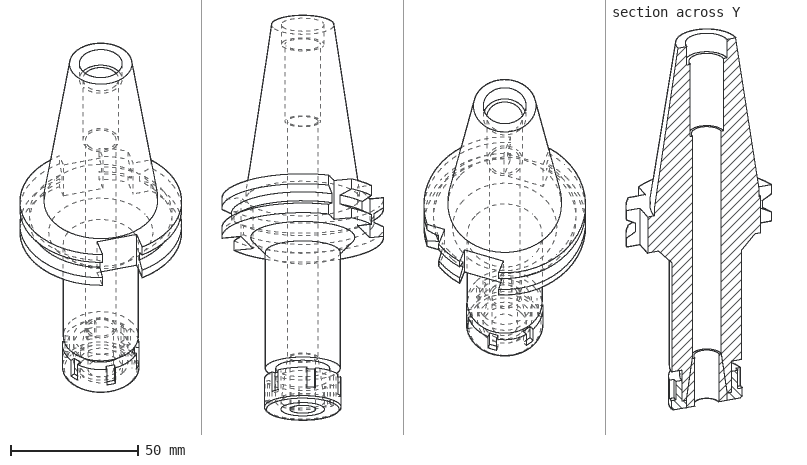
import cadquery as cq
import math


total_height = 158.4
taper_length = 68.5
collar_height = 3.2
flange_thickness = 16.0
flare_height = 6.2
barrel_bottom_z = 16.8
nut_height = 12.5
nut_lip_height = 3.2

gauge_z = total_height - taper_length
flange_top_z = gauge_z - collar_height
flange_bottom_z = flange_top_z - flange_thickness
barrel_top_z = flange_bottom_z - flare_height

taper_large_radius = 44.5 / 2
taper_ratio = 7 / 24
taper_small_radius = taper_large_radius - taper_length * taper_ratio / 2

flange_radius = 63.5 / 2
groove_floor_radius = 28.0
groove_floor_width = 3.6
groove_drop = 11.2
groove_half_angle = math.radians(30)
groove_z = gauge_z - groove_drop
groove_half_floor = groove_floor_width / 2
groove_half_mouth = groove_half_floor + (flange_radius - groove_floor_radius) * math.tan(groove_half_angle)
drive_slot_width = 16.2
left_slot_floor = 25.0
right_slot_floor = 22.8
notch_corner = 18.5

barrel_radius = 14.7
flare_radius = 20.5
neck_radius = 10.6

pilot_radius = 8.4
pilot_depth = 8.0
thread_radius = 7.0
thread_depth = 31.7
bore_radius = 6.0

collet_hole_radius = 5.0
collet_radius = 8.5
collet_half_angle = math.radians(8)
collet_top_z = nut_lip_height + (collet_radius - bore_radius) / math.tan(collet_half_angle)

nut_radius = 15.0
nut_chamfer = 0.8
wrench_slot_count = 6
wrench_slot_width = 3.5
wrench_slot_depth = 1.9
wrench_slot_height = 8.0


def revolve_profile(points):
    """Solid of revolution about Z from a closed outline of (radius, z) points."""
    return cq.Workplane("XZ").polyline(points).close().revolve(360, (0, 0, 0), (0, 1, 0))


def block(x_range, y_range, z_range):
    """Axis-aligned block spanning the given (low, high) ranges."""
    sizes = [high - low for low, high in (x_range, y_range, z_range)]
    return cq.Workplane("XY").box(*sizes, centered=False).translate((x_range[0], y_range[0], z_range[0]))


def make_holder():
    """Spindle taper, flange, barrel and threaded neck, bored through for the collet."""
    pilot_floor_z = total_height - pilot_depth
    thread_floor_z = pilot_floor_z - thread_depth
    holder = revolve_profile([
        (pilot_radius, total_height),
        (taper_small_radius, total_height),
        (taper_large_radius, gauge_z),
        (taper_large_radius, flange_top_z),
        (flange_radius, flange_top_z),
        (flange_radius, groove_z + groove_half_mouth),
        (groove_floor_radius, groove_z + groove_half_floor),
        (groove_floor_radius, groove_z - groove_half_floor),
        (flange_radius, groove_z - groove_half_mouth),
        (flange_radius, flange_bottom_z),
        (flare_radius, flange_bottom_z),
        (barrel_radius, barrel_top_z),
        (barrel_radius, barrel_bottom_z),
        (neck_radius, barrel_bottom_z),
        (neck_radius, nut_lip_height),
        (collet_radius, nut_lip_height),
        (bore_radius, collet_top_z),
        (bore_radius, thread_floor_z),
        (thread_radius, thread_floor_z),
        (thread_radius, pilot_floor_z),
        (pilot_radius, pilot_floor_z),
    ])
    for cutter in flange_cutters():
        holder = holder.cut(cutter)
    return holder


def flange_cutters():
    """Blocks that remove the two drive slots and the corner notch over the flange thickness."""
    flange_z = (flange_bottom_z, flange_top_z)
    slot_y = (-drive_slot_width / 2, drive_slot_width / 2)
    left_slot = block((-flange_radius, -left_slot_floor), slot_y, flange_z)
    right_slot = block((right_slot_floor, flange_radius), slot_y, flange_z)
    notch = block((-flange_radius, -notch_corner), (notch_corner, flange_radius), flange_z)
    return [left_slot, right_slot, notch]


def make_nut():
    """Clamping nut around the neck, with a lip around the collet and wrench slots from the top."""
    nut = revolve_profile([
        (collet_radius, 0),
        (nut_radius - nut_chamfer, 0),
        (nut_radius, nut_chamfer),
        (nut_radius, nut_height),
        (neck_radius, nut_height),
        (neck_radius, nut_lip_height),
        (collet_radius, nut_lip_height),
    ])
    slot = block(
        (-nut_radius, wrench_slot_depth - nut_radius),
        (-wrench_slot_width / 2, wrench_slot_width / 2),
        (nut_height - wrench_slot_height, nut_height),
    )
    for index in range(wrench_slot_count):
        nut = nut.cut(slot.rotate((0, 0, 0), (0, 0, 1), index * 360 / wrench_slot_count))
    return nut


def make_collet():
    """Hollow collet: a straight mouth inside the nut lip and a taper seated in the holder."""
    return revolve_profile([
        (collet_hole_radius, 0),
        (collet_radius, 0),
        (collet_radius, nut_lip_height),
        (bore_radius, collet_top_z),
        (collet_hole_radius, collet_top_z),
    ])


holder = make_holder()
nut = make_nut()
collet = make_collet()

result = cq.Compound.makeCompound([holder.val(), nut.val(), collet.val()])